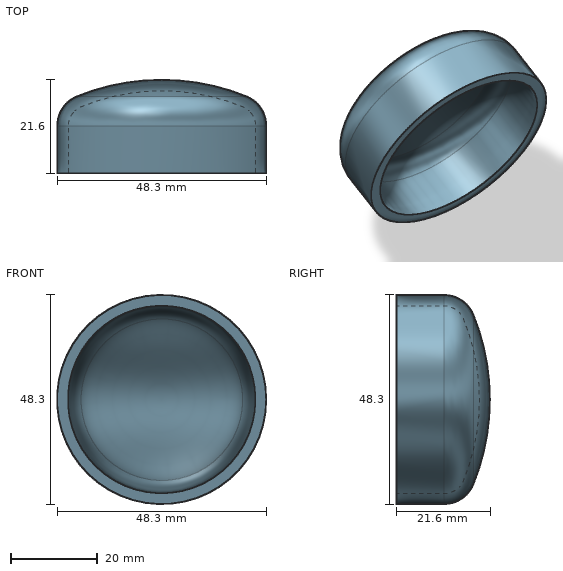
import cadquery as cq
import math

outer_diameter = 48.3
inner_diameter = 43.3
total_length = 21.6
knuckle_radius = 7.35
dome_radius = 51.7

outer_radius = outer_diameter / 2
wall = (outer_diameter - inner_diameter) / 2

knuckle_center_radius = outer_radius - knuckle_radius
joint_angle = math.asin(knuckle_center_radius / (dome_radius - knuckle_radius))
dome_center_y = total_length - dome_radius
skirt_length = dome_center_y + (dome_radius - knuckle_radius) * math.cos(joint_angle)


def dome_point(radius, angle):
    """Point on a crown sphere of the given radius, at an angle from the axis."""
    return radius * math.sin(angle), dome_center_y + radius * math.cos(angle)


def knuckle_point(radius, angle):
    """Point on a knuckle arc of the given radius, at an angle from the axis."""
    return (
        knuckle_center_radius + radius * math.sin(angle),
        skirt_length + radius * math.cos(angle),
    )


def head_solid(offset):
    """Solid of revolution bounded by the outer surface moved inward by the offset."""
    dome = dome_radius - offset
    knuckle = knuckle_radius - offset
    skirt_radius = outer_radius - offset
    knuckle_middle_angle = (joint_angle + math.pi / 2) / 2
    profile = (
        cq.Workplane("XY")
        .moveTo(0, 0)
        .lineTo(skirt_radius, 0)
        .lineTo(skirt_radius, skirt_length)
        .threePointArc(knuckle_point(knuckle, knuckle_middle_angle), dome_point(dome, joint_angle))
        .threePointArc(dome_point(dome, joint_angle / 2), dome_point(dome, 0))
        .close()
    )
    return profile.revolve(360, (0, 0, 0), (0, 1, 0))


result = head_solid(0).cut(head_solid(wall))